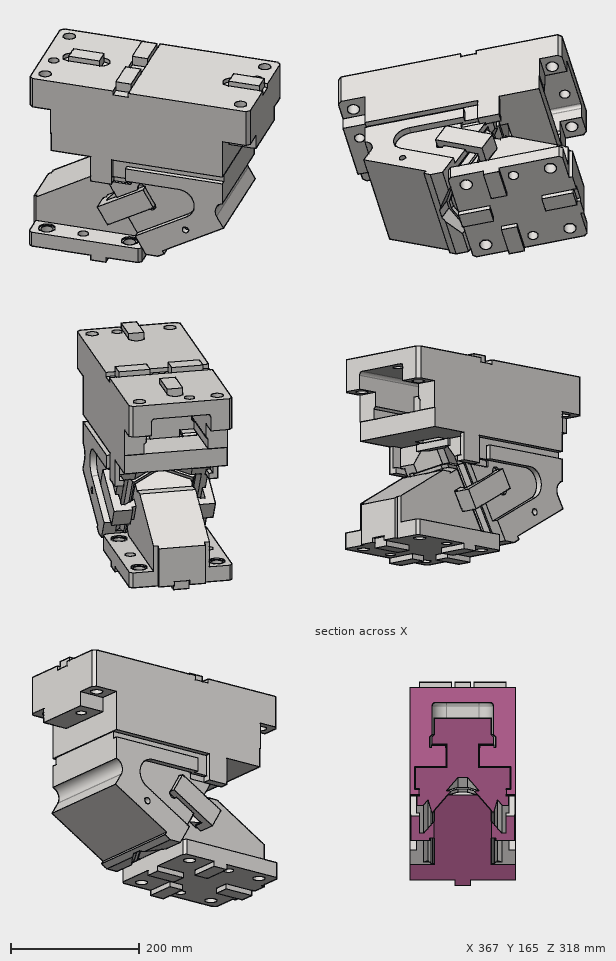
import cadquery as cq
import math

WIDTH = 165.0
HALF_WIDTH = WIDTH / 2
TOTAL_LENGTH = 367.0
TOTAL_HEIGHT = 318.0

BOLT_RADIUS = 9.5
BOLT_Y = 62.5
DOWEL_RADIUS = 8.0

KEY_LENGTH = 50.3
KEY_WIDTH = 25.0
KEY_PROUD = 8.5
KEY_SLOT_DEPTH = 7.0

SLOPE = math.radians(60)
SLOPE_X = 131.0
SLOPE_Z = 141.0
ALONG = (math.cos(SLOPE), -math.sin(SLOPE))
ACROSS = (math.sin(SLOPE), math.cos(SLOPE))
ROOF_TAN = math.tan(math.radians(30))
RIDGE_HALF = 7.5

HOLDER_X = 6.5
PLATE_TOP = TOTAL_HEIGHT - KEY_PROUD
CORNER_CHAMFER = 5.5
FRONT_X = 41.5
FLOOR_FRONT_X = 42.5
REAR_X = 323.0
FRONT_FLANGE_Z = 258.5
REAR_FLANGE_Z = 249.0
HOLDER_BOTTOM = 185.5
FLOOR_TOP = 215.8
LUG_BOTTOM = 225.5

CHANNEL_HALF = 47.7
CHANNEL_FOOT_HALF = 51.5
CHANNEL_FOOT_TOP = 232.0
CHANNEL_TOP = 286.0
CHANNEL_END_X = 301.0
CHANNEL_CORNER = 22.0
CHANNEL_ROOF_FILLET = 5.5
NECK_SLOT_HALF = 25.7
RAIL_INNER_Y = 26.5
RAIL_OUTER_Y = 48.8
RAIL_END_X = 279.0
RAIL_TOP = 219.5
RAIL_CHAMFER = 3.3

LEG_FRONT_X = 107.0
LEG_REAR_X = 141.3
LEG_BOTTOM = 141.5
HOOK_TOP = 151.0
LEG_INNER_Y = 75.0
HOOK_INNER_Y = 68.3

BOLT_FRONT_X = 26.5
BOLT_REAR_X = 346.5
DOWEL_FRONT_Y = -18.0
DOWEL_REAR_Y = 22.5

KEY_FRONT_X = 49.0
KEY_REAR_X = 311.2
KEY_SLOT_MARGIN = 13.0
CROSS_SLOT_X = 144.0
CROSS_KEY_Y = 17.2

SLIDE_FRONT_X = 123.0
SLIDE_TOP = 184.5
LEDGE_Z = 173.2
UPPER_HALF = 74.5
LEG_NOTCH_X = 164.0
HOOK_GROOVE_X = 170.5
HOOK_GROOVE_BOTTOM = 140.2
HOOK_GROOVE_TOP = 151.2
HOOK_GROOVE_Y = 68.0
HOOK_GROOVE_FILLET = 2.5
SLIDE_BOTTOM = 25.5
TOE_END = (217.5, SLIDE_BOTTOM)
TOE_TIP = (228.0, 31.5)
TOE_NOTCH = (225.0, 36.5)
HEEL = (324.8, 94.0)
SCALLOP_START = (313.5, 113.5)
SCALLOP_MIDDLE = (313.0, 129.2)
SCALLOP_END = (REAR_X, 137.5)

POCKET_Y = 72.0
POCKET_RADIUS = 25.5
POCKET_ARC_X = 251.5

CEILING_FOOT_Y = 45.0
WEAR_TOP = -2.0
WEAR_END = 120.5
RECESS_OUTER_Y = 61.5
RECESS_INNER_Y = 54.3
WEAR_EDGE = (49.5, -4.0)
WEAR_FACE = (47.5, -6.0)

LIP_HALF = 35.0
LIP_THICKNESS = 11.0
LIP_PROUD = 3.5
HEAD_HALF = 44.8
HEAD_FOOT_HALF = 48.0
HEAD_FOOT_TOP = 232.3
HEAD_BOTTOM = 221.0
HEAD_TOP = 261.5
HEAD_REAR_X = RAIL_END_X
NECK_HALF = 25.0

FOLLOWER_TOP = 32.0
FOLLOWER_END = 65.7
FOLLOWER_FRONT = -33.8
FOLLOWER_BACK = 53.0
FOLLOWER_OUTER_Y = 81.5
FOLLOWER_SEAT_Y = 67.0
FOLLOWER_HOOK_Y = 51.5
FOLLOWER_HOOK_BACK = -21.3
FOLLOWER_RAMP_Y = 61.0
TIP_END = 62.5
TIP_FRONT = -27.5
RELIEF_RADIUS = 7.0
RELIEF_INSET = 6.5
RELIEF_SIDE = 0.7

SIDE_HOLE_X = 262.5
SIDE_HOLE_Z = 80.5
SIDE_HOLE_RADIUS = 5.0
SIDE_HOLE_DEPTH = 11.0
DRILL_POINT_SLOPE = math.radians(30)

BASE_X = 5.5
BASE_END_X = 189.7
BASE_BOTTOM = KEY_PROUD
BASE_TOP = 33.5
BASE_CHAMFER = 4.8
BLOCK_HALF = 44.8
NOSE_HALF = 37.5
NOSE_TOP = 72.0
BLOCK_TOP = 129.2
BLOCK_FLAT_X = 98.0
RIDGE_TOP = 4.0
RIDGE_END = 114.0
BLOCK_FLAT_END_X = 114.0
BASE_BOLT_X = (29.5, 164.8)
BASE_DOWEL_X = 88.8
COUNTERBORE_RADIUS = 13.0
COUNTERBORE_DEPTH = 2.2
BASE_CROSS_KEY_X = 107.0


def box(x, y, z):
    """Box between the (low, high) pairs of each axis."""
    size = [high - low for low, high in (x, y, z)]
    return cq.Workplane("XY").box(*size, centered=False).translate((x[0], y[0], z[0]))


def both_sides(body):
    """The body together with its mirror image across the middle plane."""
    return body.union(body.mirror("XZ"))


def profile(points, y):
    """Outline in X and Z, extruded between two Y values."""
    outline = cq.Workplane("XZ").polyline(points).close()
    return outline.extrude(y[0] - y[1]).translate((0, y[0], 0))


def on_slope(along, across):
    """X and Z of a place measured along and across the working slope."""
    return (
        SLOPE_X + along * ALONG[0] + across * ACROSS[0],
        SLOPE_Z + along * ALONG[1] + across * ACROSS[1],
    )


def slope_prism(points, along):
    """Section of (y, across) points, extruded down the slope between two distances."""
    x, z = on_slope(along[0], 0)
    plane = cq.Plane(origin=(x, 0, z), xDir=(0, 1, 0), normal=(ALONG[0], 0, ALONG[1]))
    return cq.Workplane(plane).polyline(points).close().extrude(along[1] - along[0])


def slope_box(along, across, y):
    corners = [(y[0], across[0]), (y[1], across[0]), (y[1], across[1]), (y[0], across[1])]
    return slope_prism(corners, along)


def roof_rise(foot_y):
    """Rise of the V-shaped guide from a foot at foot_y to the edge of its ridge."""
    return (foot_y - RIDGE_HALF) * ROOF_TAN


def mirrored(points):
    """Points followed by their mirror images in reverse order."""
    return points + [(-y, height) for y, height in reversed(points)]


def vertical_cylinders(places, radius, z):
    return cq.Workplane("XY").workplane(offset=z[0]).pushPoints(places).circle(radius).extrude(z[1] - z[0])


WEAR_RIDGE = WEAR_FACE[1] + roof_rise(WEAR_FACE[0])


def holder_outline():
    plate = box((HOLDER_X, TOTAL_LENGTH), (-HALF_WIDTH, HALF_WIDTH), (REAR_FLANGE_Z, PLATE_TOP))
    plate = plate.edges("|Z").chamfer(CORNER_CHAMFER)
    plate = plate.cut(box((0, FRONT_X), (-WIDTH, WIDTH), (0, FRONT_FLANGE_Z)))
    body = box((FRONT_X, REAR_X), (-HALF_WIDTH, HALF_WIDTH), (FLOOR_TOP, PLATE_TOP))
    floor = box((FLOOR_FRONT_X, REAR_X), (-HALF_WIDTH, HALF_WIDTH), (HOLDER_BOTTOM, FLOOR_TOP))
    lug = box((REAR_X, TOTAL_LENGTH), (-CHANNEL_HALF, CHANNEL_HALF), (LUG_BOTTOM, REAR_FLANGE_Z))
    return plate.union(body).union(floor).union(lug)


def holder_channel():
    """Channel for the slide's head, open at the front, with a slot for its neck."""
    channel = box((0, CHANNEL_END_X), (-CHANNEL_HALF, CHANNEL_HALF), (FLOOR_TOP, CHANNEL_TOP))
    channel = channel.edges("|Z and >X").fillet(CHANNEL_CORNER)
    channel = channel.faces(">Z").edges("not <X").fillet(CHANNEL_ROOF_FILLET)
    widening = CHANNEL_FOOT_HALF - CHANNEL_HALF
    foot = (
        cq.Workplane("YZ")
        .polyline(mirrored([
            (CHANNEL_FOOT_HALF, FLOOR_TOP),
            (CHANNEL_FOOT_HALF, CHANNEL_FOOT_TOP),
            (CHANNEL_HALF, CHANNEL_FOOT_TOP + widening),
        ]))
        .close()
        .extrude(CHANNEL_END_X)
        .edges("|Z and >X")
        .fillet(CHANNEL_CORNER)
    )
    slot = box((LEG_FRONT_X, CHANNEL_END_X), (-NECK_SLOT_HALF, NECK_SLOT_HALF), (HOLDER_BOTTOM, FLOOR_TOP))
    return channel.union(foot).union(slot)


def holder_rails():
    """Pair of wear rails on the channel floor, with a chamfered front edge."""
    rail = box((LEG_FRONT_X, RAIL_END_X), (RAIL_INNER_Y, RAIL_OUTER_Y), (FLOOR_TOP, RAIL_TOP))
    return both_sides(rail.edges("<X and >Z").chamfer(RAIL_CHAMFER))


def holder_legs():
    """Pair of hooked legs that reach round the sides of the slide."""
    leg = box((LEG_FRONT_X, LEG_REAR_X), (LEG_INNER_Y, HALF_WIDTH), (LEG_BOTTOM, HOLDER_BOTTOM))
    hook = box((LEG_FRONT_X, LEG_REAR_X), (HOOK_INNER_Y, HALF_WIDTH), (LEG_BOTTOM, HOOK_TOP))
    return both_sides(leg.union(hook))


def holder_holes():
    bolts = [(x, y) for x in (BOLT_FRONT_X, BOLT_REAR_X) for y in (-BOLT_Y, BOLT_Y)]
    dowels = [(BOLT_FRONT_X, DOWEL_FRONT_Y), (BOLT_REAR_X, DOWEL_REAR_Y)]
    depth = (HOLDER_BOTTOM, TOTAL_HEIGHT)
    return vertical_cylinders(bolts, BOLT_RADIUS, depth).union(vertical_cylinders(dowels, DOWEL_RADIUS, depth))


def holder_key_slots():
    slot_bottom = PLATE_TOP - KEY_SLOT_DEPTH
    half = KEY_WIDTH / 2
    slots = box((CROSS_SLOT_X, CROSS_SLOT_X + KEY_WIDTH), (-WIDTH, WIDTH), (slot_bottom, TOTAL_HEIGHT))
    slot_length = KEY_LENGTH + 2 * KEY_SLOT_MARGIN
    for key_x in (KEY_FRONT_X, KEY_REAR_X):
        start = key_x - KEY_SLOT_MARGIN
        slot = (
            cq.Workplane("XY", origin=(start + slot_length / 2, 0, slot_bottom))
            .slot2D(slot_length, KEY_WIDTH)
            .extrude(TOTAL_HEIGHT - slot_bottom)
        )
        slots = slots.union(slot)
    rear = box((KEY_REAR_X, TOTAL_LENGTH), (-half, half), (slot_bottom, TOTAL_HEIGHT))
    return slots.union(rear)


def holder_keys():
    height = (PLATE_TOP - KEY_SLOT_DEPTH, TOTAL_HEIGHT)
    half = KEY_WIDTH / 2
    keys = both_sides(box(
        (CROSS_SLOT_X, CROSS_SLOT_X + KEY_WIDTH), (CROSS_KEY_Y, CROSS_KEY_Y + KEY_LENGTH), height
    ))
    for key_x in (KEY_FRONT_X, KEY_REAR_X):
        keys = keys.union(box((key_x, key_x + KEY_LENGTH), (-half, half), height))
    return keys


def make_holder():
    holder = holder_outline().cut(holder_channel()).union(holder_rails()).union(holder_legs())
    return holder.cut(holder_key_slots()).cut(holder_holes()).union(holder_keys())


def slide_outline():
    front_along = (SLIDE_FRONT_X - SLOPE_X) / ALONG[0]
    bottom_along = (SLIDE_BOTTOM - SLOPE_Z) / ALONG[1]
    outline = (
        cq.Workplane("XZ")
        .moveTo(SLIDE_FRONT_X, SLIDE_TOP)
        .lineTo(*on_slope(front_along, 0))
        .lineTo(*on_slope(bottom_along, 0))
        .lineTo(*TOE_END)
        .lineTo(*TOE_TIP)
        .lineTo(*TOE_NOTCH)
        .lineTo(*HEEL)
        .lineTo(*SCALLOP_START)
        .threePointArc(SCALLOP_MIDDLE, SCALLOP_END)
        .lineTo(REAR_X, SLIDE_TOP)
        .close()
    )
    return outline.extrude(HALF_WIDTH, both=True)


def slide_side_cuts():
    """Ledges, notches and grooves beside the holder's legs, and the side pockets."""
    ledge = box((0, TOTAL_LENGTH), (UPPER_HALF, WIDTH), (LEDGE_Z, SLIDE_TOP))
    notch = box((0, LEG_NOTCH_X), (UPPER_HALF, WIDTH), (HOOK_GROOVE_BOTTOM, SLIDE_TOP))
    groove = box((0, HOOK_GROOVE_X), (HOOK_GROOVE_Y, WIDTH), (HOOK_GROOVE_BOTTOM, HOOK_GROOVE_TOP))
    groove = groove.edges("|Y and >X").fillet(HOOK_GROOVE_FILLET)
    arc_z = HOOK_GROOVE_TOP - POCKET_RADIUS
    arc_end_x = POCKET_ARC_X + POCKET_RADIUS * ALONG[0]
    arc_end_z = arc_z + POCKET_RADIUS * ALONG[1]
    drop = arc_end_x / math.tan(SLOPE)
    pocket = (
        cq.Workplane("XZ", origin=(0, POCKET_Y, 0))
        .moveTo(0, HOOK_GROOVE_TOP)
        .lineTo(POCKET_ARC_X, HOOK_GROOVE_TOP)
        .threePointArc(
            (POCKET_ARC_X + POCKET_RADIUS * ACROSS[0], arc_z + POCKET_RADIUS * ACROSS[1]),
            (arc_end_x, arc_end_z),
        )
        .lineTo(0, arc_end_z - drop)
        .close()
        .extrude(-HALF_WIDTH)
    )
    return both_sides(ledge.union(notch).union(groove).union(pocket))


def slide_side_holes():
    """Blind holes with drill points in the sides of the slide."""
    bottom_y = HALF_WIDTH - SIDE_HOLE_DEPTH
    point_y = bottom_y - SIDE_HOLE_RADIUS * math.tan(DRILL_POINT_SLOPE)
    hole = (
        cq.Workplane("XY")
        .moveTo(0, point_y)
        .lineTo(SIDE_HOLE_RADIUS, bottom_y)
        .lineTo(SIDE_HOLE_RADIUS, HALF_WIDTH)
        .lineTo(0, HALF_WIDTH)
        .close()
        .revolve(360, (0, 0), (0, 1))
    )
    return both_sides(hole.translate((SIDE_HOLE_X, 0, SIDE_HOLE_Z)))


def slide_ceiling():
    """V-shaped clearance under the slide and the wider recess of its wear plate."""
    ridge = roof_rise(CEILING_FOOT_Y)
    roof = mirrored([(CEILING_FOOT_Y, 0), (RIDGE_HALF, ridge)])
    ceiling = slope_prism(roof, (-TOTAL_LENGTH, TOTAL_LENGTH))
    recess_rise = (RECESS_OUTER_Y - RECESS_INNER_Y) * ROOF_TAN
    recess = slope_prism(
        [(RECESS_OUTER_Y, 0), (RECESS_INNER_Y, recess_rise), (CEILING_FOOT_Y, 0)],
        (WEAR_TOP, WEAR_END),
    )
    return ceiling.union(both_sides(recess))


def slide_wear_plate():
    """V-shaped plate under the ceiling, with chamfered lower edges."""
    recess_rise = (RECESS_OUTER_Y - RECESS_INNER_Y) * ROOF_TAN
    ceiling_ridge = roof_rise(CEILING_FOOT_Y)
    half_section = [
        (0, WEAR_RIDGE),
        (RIDGE_HALF, WEAR_RIDGE),
        WEAR_FACE,
        WEAR_EDGE,
        (RECESS_INNER_Y, recess_rise),
        (CEILING_FOOT_Y, recess_rise),
        (RIDGE_HALF, ceiling_ridge),
        (0, ceiling_ridge),
    ]
    return both_sides(slope_prism(half_section, (WEAR_TOP, WEAR_END)))


def slide_head():
    """T-shaped guide that runs in the holder's channel, and the lip under it."""
    taper = HEAD_FOOT_HALF - HEAD_HALF
    section = mirrored([
        (NECK_HALF, SLIDE_TOP),
        (NECK_HALF, HEAD_BOTTOM),
        (HEAD_FOOT_HALF, HEAD_BOTTOM),
        (HEAD_FOOT_HALF, HEAD_FOOT_TOP),
        (HEAD_HALF, HEAD_FOOT_TOP + taper),
        (HEAD_HALF, HEAD_TOP),
    ])
    head = cq.Workplane("YZ", origin=(SLIDE_FRONT_X, 0, 0)).polyline(section).close()
    head = head.extrude(HEAD_REAR_X - SLIDE_FRONT_X)
    lip_front_x = SLIDE_FRONT_X - LIP_PROUD
    lip = box((lip_front_x, lip_front_x + LIP_THICKNESS), (-LIP_HALF, LIP_HALF), (LEDGE_Z, SLIDE_TOP))
    return head.union(lip)


def follower_reliefs():
    """Round reliefs at the back corners of the follower seats."""
    relief_across = FOLLOWER_BACK - RELIEF_INSET
    centres = [
        on_slope(along, relief_across)
        for along in (FOLLOWER_TOP + RELIEF_SIDE, FOLLOWER_END - RELIEF_SIDE)
    ]
    reliefs = (
        cq.Workplane("XZ", origin=(0, FOLLOWER_SEAT_Y, 0))
        .pushPoints(centres)
        .circle(RELIEF_RADIUS)
        .extrude(-HALF_WIDTH)
    )
    return both_sides(reliefs)


def slide_followers():
    """Return hooks that reach from the slide's sides round the driver."""
    along = (FOLLOWER_TOP, FOLLOWER_END)
    arm = slope_box(along, (FOLLOWER_FRONT, FOLLOWER_BACK), (FOLLOWER_SEAT_Y, FOLLOWER_OUTER_Y))
    hook = slope_box(along, (FOLLOWER_FRONT, FOLLOWER_HOOK_BACK), (FOLLOWER_HOOK_Y, FOLLOWER_SEAT_Y))
    tip_back = FOLLOWER_HOOK_BACK + (FOLLOWER_RAMP_Y - BLOCK_HALF) * ROOF_TAN
    tip_section = [
        (FOLLOWER_RAMP_Y, FOLLOWER_HOOK_BACK),
        (BLOCK_HALF, tip_back),
        (BLOCK_HALF, TIP_FRONT),
        (FOLLOWER_RAMP_Y, TIP_FRONT),
    ]
    tip = slope_prism(tip_section, (FOLLOWER_TOP, TIP_END))
    return both_sides(arm.union(hook).union(tip))


def make_slide():
    slide = slide_outline().cut(slide_side_cuts()).cut(slide_side_holes()).cut(slide_ceiling())
    slide = slide.union(slide_wear_plate()).union(slide_head())
    return slide.cut(follower_reliefs()).union(slide_followers())


def driver_block():
    """Wedge-shaped block whose sloping side is a V-shaped ridge."""
    ridge_top = on_slope(RIDGE_TOP, WEAR_RIDGE)
    ridge_end = on_slope(RIDGE_END, WEAR_RIDGE)
    dip_z = ridge_top[1] - (ridge_top[0] - BLOCK_FLAT_END_X) / math.tan(SLOPE)
    foot_x = ridge_end[0] - (ridge_end[1] - BASE_TOP) * math.tan(SLOPE)
    rise = (BLOCK_TOP - NOSE_TOP) / BLOCK_FLAT_X
    block = profile([
        (BASE_X, BASE_BOTTOM),
        (BASE_X, NOSE_TOP + rise * BASE_X),
        (BLOCK_FLAT_X, BLOCK_TOP),
        (BLOCK_FLAT_END_X, BLOCK_TOP),
        (BLOCK_FLAT_END_X, dip_z),
        ridge_top,
        ridge_end,
        (foot_x, BASE_TOP),
        (foot_x, BASE_BOTTOM),
    ], (-BLOCK_HALF, BLOCK_HALF))
    fall = WEAR_RIDGE - roof_rise(BLOCK_HALF)
    shoulder = slope_prism(
        [(RIDGE_HALF, WEAR_RIDGE), (BLOCK_HALF, fall), (BLOCK_HALF, WEAR_RIDGE)],
        (RIDGE_TOP, RIDGE_END),
    )
    nose = profile([
        (0, BASE_BOTTOM),
        (0, NOSE_TOP),
        (BASE_X, NOSE_TOP + rise * BASE_X),
        (BASE_X, BASE_BOTTOM),
    ], (-NOSE_HALF, NOSE_HALF))
    return block.cut(both_sides(shoulder)).union(nose)


def driver_base():
    base = box((BASE_X, BASE_END_X), (-HALF_WIDTH, HALF_WIDTH), (BASE_BOTTOM, BASE_TOP))
    return base.edges("|Z").chamfer(BASE_CHAMFER)


def driver_holes():
    bolts = [(x, y) for x in BASE_BOLT_X for y in (-BOLT_Y, BOLT_Y)]
    dowels = [(BASE_DOWEL_X, -BOLT_Y), (BASE_DOWEL_X, BOLT_Y)]
    holes = vertical_cylinders(bolts, BOLT_RADIUS, (0, BASE_TOP))
    counterbores = vertical_cylinders(bolts, COUNTERBORE_RADIUS, (BASE_TOP - COUNTERBORE_DEPTH, BASE_TOP))
    return holes.union(counterbores).union(vertical_cylinders(dowels, DOWEL_RADIUS, (0, BASE_TOP)))


def driver_keys():
    half = KEY_WIDTH / 2
    height = (0, BASE_BOTTOM + KEY_SLOT_DEPTH)
    keys = both_sides(box(
        (BASE_CROSS_KEY_X, BASE_CROSS_KEY_X + KEY_WIDTH), (HALF_WIDTH - KEY_LENGTH, HALF_WIDTH), height
    ))
    for key_x in (BASE_X, BASE_END_X - KEY_LENGTH):
        keys = keys.union(box((key_x, key_x + KEY_LENGTH), (-half, half), height))
    return keys


def make_driver():
    half = KEY_WIDTH / 2
    nose_slot = box((0, BASE_X), (-half, half), (0, BASE_BOTTOM + KEY_SLOT_DEPTH))
    driver = driver_base().union(driver_block()).cut(nose_slot)
    return driver.union(driver_keys()).cut(driver_holes())


holder = make_holder()
slide = make_slide()
driver = make_driver()

result = cq.Compound.makeCompound([body.solids().val() for body in (holder, slide, driver)])